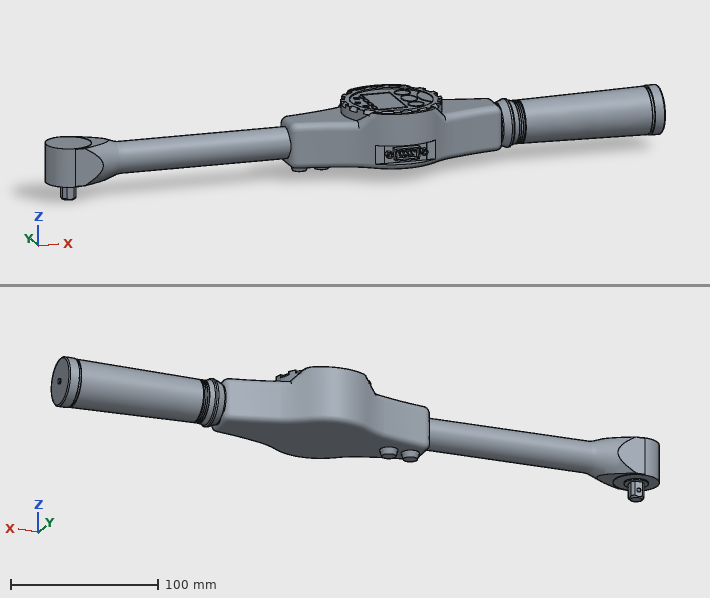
import cadquery as cq
import math

overall_length = 437.5
dial_x = 246.5
dial_radius = 37.4
dial_top = 24.0
shell_top = 23.5
edge_margin = 0.5

head_radius = 15.8
head_half_height = 13.5
neck_half_width = 16.0
neck_half_height = 13.0
neck_start_radius = 23.0
neck_end_x = 49.0
neck_end_radius = 11.5
tube_radius = 11.0
tube_start_x = 52.0

drive_side = 9.5
drive_corner_diameter = 11.0
drive_tip_z = -26.0
drive_chamfer = 1.5
drive_flange_diameter = 16.5
drive_flange_height = 1.0
detent_diameter = 2.85
detent_z = -20.5

housing_half_length = 75.5
housing_half_height = 15.8
housing_end_half_width = 13.0
blend_start_x = 22.8
blend_start = (blend_start_x, math.sqrt(dial_radius**2 - blend_start_x**2))
blend_end = (37.5, 22.0)
upper_fillet = 5.3
bottom_fillet = 4.0
ramp_foot = 30.0
ramp_overshoot = 1.8

foot_base_diameter = 12.5
foot_tip_diameter = 9.5
foot_height = 4.5
foot_positions = (180.7, 196.5)

bezel_radius = 34.35
notch_count = 16
notch_width = 8.0
notch_depth = 2.5
face_radius = 28.5
face_depth = 1.0
screen_depth = 0.5
raised = 0.5
screen_size = (20.5, 38.5)
screen_offset = -5.3
tab_size = (2.5, 5.3)
tab_pitch = 9.0
tab_count = 4
tab_shift = -1.0
button_diameter = 11.0
button_offset = 12.5
button_spread = 15.0
oval_size = (10.5, 15.5)
round_lamp_diameter = 3.65
round_lamp_offset = -24.0
lamp_size = (3.0, 4.0)
lamp_offset = -21.5
lamp_spread = 10.5
side_key_end_half_width = 13.5
side_key_inner = 19.3

pocket_length = 43.0
pocket_bottom = -12.0
pocket_top = 1.5
flange_length = 30.0
flange_thickness = 0.5
shell_length = 18.5
shell_height = 8.5
shell_protrusion = 5.3
shell_wall = 1.0
shell_slope = 1.0
shell_cavity_depth = 4.5
pin_diameter = 1.25
pin_pitch = 2.75
pin_row_gap = 2.85
pin_length = 3.5
jackscrew_diameter = 5.0
jackscrew_hole_diameter = 2.35
jackscrew_spacing = 25.0
jackscrew_length = 4.5

handle_nub_diameter = 3.65
handle_nub_length = 1.0
cap_end_x = overall_length - handle_nub_length
collar_start_x = dial_x + housing_half_length
grip_start_x = 338.0
grip_start_radius = 15.0
grip_end_x = 427.5
grip_end_radius = 16.5
groove_width = 1.8
groove_radius = 15.8
cap_radius = 17.0
cap_chamfer = 1.0
collar_profile = (
    (collar_start_x - 1.0, 14.5),
    (collar_start_x, 14.5),
    (327.5, 16.5),
    (328.5, 16.5),
    (329.5, 15.8),
    (332.5, 15.0),
)
rib_radius = 15.0
rib_gap_radius = 14.5
rib_positions = (334.0, 336.5)
rib_width = 1.5


def box_between(x_range, y_range, z_range):
    size = [high - low for low, high in (x_range, y_range, z_range)]
    corner = (x_range[0], y_range[0], z_range[0])
    return cq.Workplane("XY").box(*size, centered=False).translate(corner)


def turned(profile):
    """Revolve (x, radius) points about the tool axis."""
    points = [(profile[0][0], 0)] + list(profile) + [(profile[-1][0], 0)]
    return cq.Workplane("XY").polyline(points).close().revolve(360, (0, 0, 0), (1, 0, 0))


def plate(z):
    """Workplane at height z, centred on the dial."""
    return cq.Workplane("XY", origin=(dial_x, 0, z))


def make_head():
    cylinder = (
        cq.Workplane("XY", origin=(head_radius, 0, -head_half_height))
        .circle(head_radius)
        .extrude(2 * head_half_height)
    )
    neck = turned([
        (head_radius, neck_start_radius),
        (neck_end_x, neck_end_radius),
        (tube_start_x, tube_radius),
    ])
    flats = box_between(
        (head_radius, tube_start_x),
        (-neck_half_width, neck_half_width),
        (-neck_half_height, neck_half_height),
    )
    tube_end_x = dial_x - housing_half_length + upper_fillet
    tube = turned([(tube_start_x, tube_radius), (tube_end_x, tube_radius)])
    return cylinder.union(neck.intersect(flats)).union(tube)


def make_drive():
    drive_length = -head_half_height - drive_tip_z
    base = cq.Workplane("XY", origin=(head_radius, 0, drive_tip_z))
    round_bar = base.circle(drive_corner_diameter / 2).extrude(drive_length)
    round_bar = round_bar.faces("<Z").chamfer(drive_chamfer)
    square = base.rect(drive_side, drive_side).extrude(drive_length)
    flange = (
        cq.Workplane("XY", origin=(head_radius, 0, -head_half_height))
        .circle(drive_flange_diameter / 2)
        .extrude(-drive_flange_height)
    )
    detent = cq.Workplane("XY").sphere(detent_diameter / 2)
    detent = detent.translate((head_radius, drive_side / 2, detent_z))
    return round_bar.intersect(square).union(flange).union(detent)


def make_housing():
    height = shell_top + ramp_overshoot + housing_half_height
    half_angle = math.asin(blend_start[0] / dial_radius) / 2
    dial_arc_middle = (dial_radius * math.sin(half_angle), dial_radius * math.cos(half_angle))
    quarter = (
        cq.Workplane("XY", origin=(0, 0, -housing_half_height))
        .moveTo(0, 0)
        .lineTo(0, dial_radius)
        .threePointArc(dial_arc_middle, blend_start)
        .tangentArcPoint(blend_end, relative=False)
        .tangentArcPoint((housing_half_length, housing_end_half_width), relative=False)
        .lineTo(housing_half_length, 0)
        .close()
        .extrude(height)
    )
    half = quarter.union(quarter.mirror("XZ"))
    body = half.union(half.mirror("YZ")).clean()

    ramp_height = height - 2 * housing_half_height
    for side in (-1, 1):
        body = body.cut(
            cq.Workplane("XZ")
            .moveTo(side * ramp_foot, housing_half_height)
            .lineTo(side * 2 * housing_half_length, housing_half_height)
            .lineTo(side * 2 * housing_half_length, housing_half_height + ramp_height)
            .lineTo(side * (ramp_foot - ramp_height), housing_half_height + ramp_height)
            .close()
            .extrude(dial_radius, both=True)
        )

    body = body.edges("|Z and (<X or >X)").fillet(upper_fillet)
    body = body.faces("<Z").edges().fillet(bottom_fillet)

    above_arms = cq.selectors.BoxSelector(
        (-2 * housing_half_length, -dial_radius, housing_half_height - edge_margin),
        (2 * housing_half_length, dial_radius, shell_top + ramp_overshoot - edge_margin),
    )
    body = body.edges(above_arms).edges("not |Y").fillet(upper_fillet)

    keep = box_between(
        (-2 * housing_half_length, 2 * housing_half_length),
        (-2 * dial_radius, 2 * dial_radius),
        (-2 * housing_half_height, shell_top),
    )
    return body.intersect(keep).translate((dial_x, 0, 0))


def make_feet():
    feet = cq.Workplane("XY")
    for x in foot_positions:
        foot = (
            cq.Workplane("XY", origin=(x, 0, -housing_half_height))
            .circle(foot_base_diameter / 2)
            .workplane(offset=-foot_height)
            .circle(foot_tip_diameter / 2)
            .loft()
        )
        feet = feet.add(foot)
    return feet.combine()


def cut_bezel_notch(body, angle):
    """Cut one sloped notch into the upper edge of the bezel."""
    outer = bezel_radius + edge_margin
    inner = bezel_radius - notch_depth
    notch = (
        cq.Workplane("XZ", origin=(0, notch_width / 2, 0))
        .moveTo(inner, dial_top)
        .lineTo(outer, dial_top)
        .lineTo(outer, dial_top - (outer - inner))
        .close()
        .extrude(notch_width)
    )
    return body.cut(notch.rotate((0, 0, 0), (0, 0, 1), angle).translate((dial_x, 0, 0)))


def add_dial(body):
    body = body.union(plate(0).circle(bezel_radius).extrude(dial_top))
    for index in range(notch_count):
        body = cut_bezel_notch(body, index * 360 / notch_count)

    face_z = dial_top - face_depth
    body = body.cut(plate(face_z).circle(face_radius).extrude(face_depth))
    screen = plate(face_z).center(screen_offset, 0).rect(*screen_size).extrude(-screen_depth)
    body = body.cut(screen)

    tab_x = screen_offset - screen_size[0] / 2 - tab_size[0] / 2
    tab_ys = [tab_shift + (index - (tab_count - 1) / 2) * tab_pitch for index in range(tab_count)]
    tabs = plate(face_z).pushPoints([(tab_x, y) for y in tab_ys]).rect(*tab_size).extrude(raised)

    round_lamp = plate(face_z).center(round_lamp_offset, 0).circle(round_lamp_diameter / 2).extrude(raised)
    square_lamps = (
        plate(face_z)
        .pushPoints([(lamp_offset, lamp_spread), (lamp_offset, -lamp_spread)])
        .rect(*lamp_size)
        .extrude(raised)
    )
    round_buttons = (
        plate(face_z)
        .pushPoints([(button_offset, button_spread), (button_offset, -button_spread)])
        .circle(button_diameter / 2)
        .extrude(raised)
    )
    oval_button = (
        plate(face_z).center(button_offset, 0)
        .ellipse(oval_size[0] / 2, oval_size[1] / 2)
        .extrude(raised)
    )

    key_x = math.sqrt(face_radius**2 - side_key_end_half_width**2)
    side_key = (
        plate(face_z)
        .moveTo(key_x, side_key_end_half_width)
        .threePointArc((face_radius, 0), (key_x, -side_key_end_half_width))
        .threePointArc((side_key_inner, 0), (key_x, side_key_end_half_width))
        .close()
        .extrude(raised)
    )
    for key in (tabs, round_lamp, square_lamps, round_buttons, oval_button, side_key):
        body = body.union(key)
    return body


def add_connector(body):
    """Cut the pocket on the -Y side and fit a nine-pin serial plug in it."""
    half_length = pocket_length / 2
    floor_y = -math.sqrt(dial_radius**2 - half_length**2)
    pocket = box_between(
        (dial_x - half_length, dial_x + half_length),
        (-2 * dial_radius, floor_y),
        (pocket_bottom, pocket_top),
    )
    body = body.cut(pocket)
    socket = cq.Workplane("XZ", origin=(dial_x, floor_y, (pocket_bottom + pocket_top) / 2))
    body = body.union(socket.rect(flange_length, pocket_top - pocket_bottom).extrude(flange_thickness))

    half_shell = shell_length / 2
    half_height = shell_height / 2
    shell_outline = [
        (-half_shell, half_height),
        (half_shell, half_height),
        (half_shell - shell_slope, -half_height),
        (-half_shell + shell_slope, -half_height),
    ]
    shell = socket.polyline(shell_outline).close().extrude(shell_protrusion)
    cavity = (
        socket.workplane(offset=shell_protrusion - shell_cavity_depth)
        .polyline(shell_outline).close().offset2D(-shell_wall)
        .extrude(shell_cavity_depth)
    )
    body = body.union(shell.cut(cavity))

    upper_row = [(index * pin_pitch, pin_row_gap / 2) for index in (-2, -1, 0, 1, 2)]
    lower_row = [(index * pin_pitch, -pin_row_gap / 2) for index in (-1.5, -0.5, 0.5, 1.5)]
    pins = (
        socket.workplane(offset=shell_protrusion - shell_cavity_depth)
        .pushPoints(upper_row + lower_row)
        .circle(pin_diameter / 2)
        .extrude(pin_length)
    )
    body = body.union(pins)

    screw_points = [(-jackscrew_spacing / 2, 0), (jackscrew_spacing / 2, 0)]
    screws = socket.pushPoints(screw_points).polygon(6, jackscrew_diameter).extrude(jackscrew_length)
    holes = (
        socket.workplane(offset=flange_thickness)
        .pushPoints(screw_points)
        .circle(jackscrew_hole_diameter / 2)
        .extrude(jackscrew_length)
    )
    return body.union(screws.cut(holes))


def make_handle():
    profile = list(collar_profile)
    for x in rib_positions:
        profile += [
            (x - rib_width / 2, rib_gap_radius),
            (x - rib_width / 2, rib_radius),
            (x + rib_width / 2, rib_radius),
            (x + rib_width / 2, rib_gap_radius),
        ]
    cap_start_x = grip_end_x + groove_width
    profile += [
        (grip_start_x, grip_start_radius),
        (grip_end_x, grip_end_radius),
        (grip_end_x, groove_radius),
        (cap_start_x, groove_radius),
        (cap_start_x, cap_radius),
        (cap_end_x - cap_chamfer, cap_radius),
        (cap_end_x, cap_radius - cap_chamfer),
    ]
    nub_radius = handle_nub_diameter / 2
    nub = turned([(cap_end_x, nub_radius), (overall_length, nub_radius)])
    return turned(profile).union(nub)


result = add_connector(add_dial(make_housing().union(make_feet())))
result = result.union(make_head()).union(make_drive()).union(make_handle())